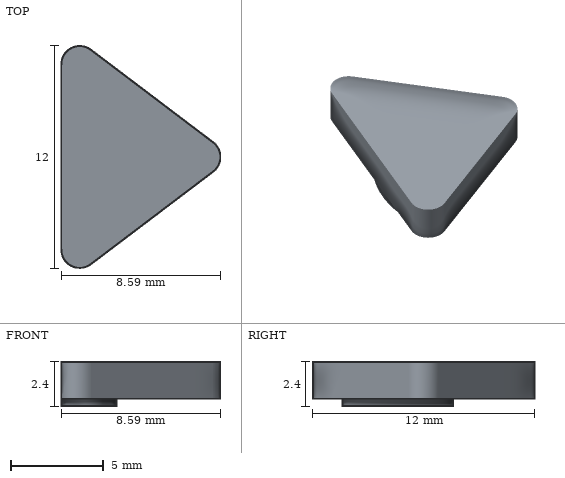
import cadquery as cq

plate_length = 8.59
plate_width = 11.98
corner_radius = 1.0
plate_thickness = 2.0

pad_length = 3.0
pad_width = 5.99
pad_height = 0.4
pad_offset_y = -1.4


def make_plate():
    """Hull of three equal corner circles, extruded upward from Z = 0."""
    base_center_y = plate_width / 2 - corner_radius
    tip_center_x = plate_length - corner_radius
    run = tip_center_x - corner_radius
    slant = (run**2 + base_center_y**2) ** 0.5
    tip_x = tip_center_x + corner_radius * slant / base_center_y
    base_y = tip_x * base_center_y / run
    outline = [(0, -base_y), (tip_x, 0), (0, base_y)]
    return (
        cq.Workplane("XY")
        .polyline(outline)
        .close()
        .extrude(plate_thickness)
        .edges("|Z")
        .fillet(corner_radius)
    )


def make_pad():
    """Elliptical disc below the plate, touching the long edge at X = 0."""
    return (
        cq.Workplane("XY")
        .center(pad_length / 2, pad_offset_y)
        .ellipse(pad_length / 2, pad_width / 2)
        .extrude(-pad_height)
    )


result = make_plate().union(make_pad())